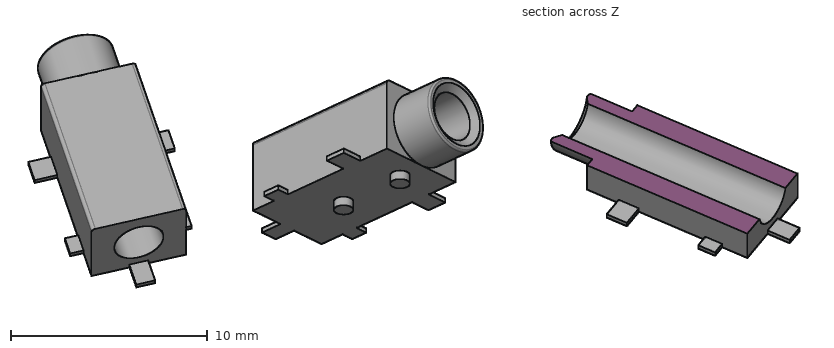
import cadquery as cq

total_length = 13.3
barrel_length = 2.5
body_length = 9.5
body_width = 5.0
body_height = 4.0
body_edge_radius = 0.2

barrel_diameter = body_height
barrel_edge_radius = 0.1
bore_diameter = 2.6
mouth_diameter = 3.42
mouth_depth = 0.3
axis_height = body_height / 2
body_end = barrel_length + body_length

peg_diameter = 1.0
peg_height = 0.49
peg_positions = (4.0, 8.0)

tab_thickness = 0.25
front_tab_start = 4.39
front_tab_length = 1.2
front_tab_span = 7.4
rear_tab_start = 9.51
rear_tab_length = 1.0
rear_tab_span = 6.41
tail_width = 1.0


def floor_block(start, length, width, height):
    """Block standing on Z = 0, centred across Y, starting at X = start."""
    return cq.Workplane("XY").box(length, width, height, centered=(False, True, False)).translate((start, 0, 0))


def axial_cylinder(diameter, length):
    """Cylinder on the barrel axis, starting at the mouth plane."""
    return cq.Workplane("YZ").center(0, axis_height).circle(diameter / 2).extrude(length)


def make_housing():
    body = floor_block(barrel_length, body_length, body_width, body_height)
    body = body.edges("|X and >Z").fillet(body_edge_radius)
    barrel = axial_cylinder(barrel_diameter, barrel_length).faces("<X").edges().fillet(barrel_edge_radius)
    return body.union(barrel)


def add_tabs(part):
    part = part.union(floor_block(front_tab_start, front_tab_length, front_tab_span, tab_thickness))
    part = part.union(floor_block(rear_tab_start, rear_tab_length, rear_tab_span, tab_thickness))
    return part.union(floor_block(body_end, total_length - body_end, tail_width, tab_thickness))


def add_pegs(part):
    for x in peg_positions:
        peg = cq.Workplane("XY").center(x, 0).circle(peg_diameter / 2).extrude(-peg_height)
        part = part.union(peg)
    return part


def cut_bore(part):
    """Through bore with a conical lead-in at the mouth."""
    bore = axial_cylinder(bore_diameter, body_end)
    lead_in = (
        cq.Workplane("YZ")
        .center(0, axis_height)
        .circle(mouth_diameter / 2)
        .workplane(offset=mouth_depth)
        .circle(bore_diameter / 2)
        .loft(ruled=True)
    )
    return part.cut(bore).cut(lead_in)


result = cut_bore(add_pegs(add_tabs(make_housing())))